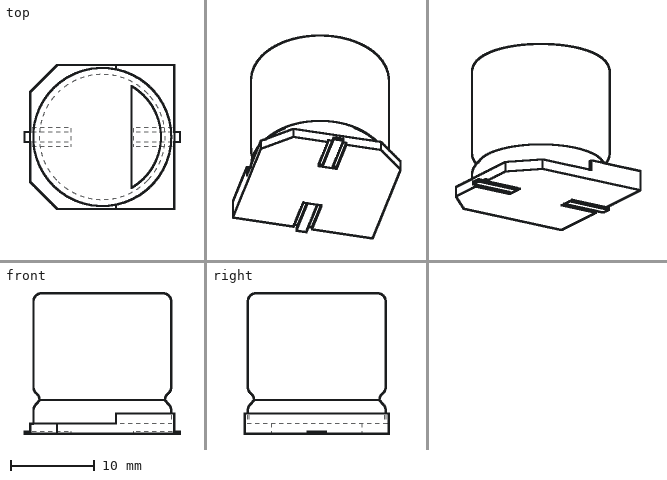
import cadquery as cq
import math

base_width = 17.2
base_floor_height = 1.2
base_wall_height = 2.44
base_chamfer = 3.22
wall_start_x = 1.62

overall_length = 18.6
lead_width = 1.23
lead_thickness = 0.3
lead_length = 5.58
slot_width = 2.25

can_diameter = 16.5
can_radius = can_diameter / 2
can_top = 16.8
rim_radius = 1.0

groove_bottom = 2.79
groove_top = 5.6
groove_arc_radius = 1.0
groove_arc_height = 0.78

mark_radius = 7.01
mark_chord_x = 3.5
mark_thickness = 0.1


def make_lead_strip(side, width):
    """Flat strip along one lead; side is -1 for the -X end and +1 for the +X end."""
    center_x = side * (overall_length - lead_length) / 2
    return (
        cq.Workplane("XY")
        .box(lead_length, width, lead_thickness, centered=(True, True, False))
        .translate((center_x, 0, 0))
    )


def make_base():
    """Chamfered plate with a raised wall at +X that wraps around the can, slotted below for the leads."""
    plate = (
        cq.Workplane("XY")
        .rect(base_width, base_width)
        .extrude(base_wall_height)
        .edges("|Z and <X")
        .chamfer(base_chamfer)
    )
    step_height = base_wall_height - base_floor_height
    step_length = base_width / 2 + wall_start_x
    step = (
        cq.Workplane("XY", origin=(-base_width / 2, 0, base_floor_height))
        .box(step_length, base_width, step_height, centered=(False, True, False))
    )
    can_seat = cq.Workplane("XY", origin=(0, 0, base_floor_height)).circle(can_radius).extrude(step_height)
    base = plate.cut(step).cut(can_seat)
    for side in (-1, 1):
        base = base.cut(make_lead_strip(side, slot_width))
    return base


def make_mark():
    """Circle segment beyond the chord on the +X side."""
    chord_half = math.sqrt(mark_radius**2 - mark_chord_x**2)
    return (
        cq.Workplane("XY", origin=(0, 0, can_top - mark_thickness))
        .moveTo(mark_chord_x, -chord_half)
        .threePointArc((mark_radius, 0), (mark_chord_x, chord_half))
        .close()
        .extrude(mark_thickness)
    )


def make_can(mark):
    """Revolved can: rounded top rim and a crimp groove above its foot."""
    arc_angle = math.asin(groove_arc_height / groove_arc_radius)
    arc_inset = groove_arc_radius * (1 - math.cos(arc_angle))
    middle_height = groove_arc_radius * math.sin(arc_angle / 2)
    middle_inset = groove_arc_radius * (1 - math.cos(arc_angle / 2))

    shoulder_radius = can_radius - arc_inset
    neck_radius = can_radius - 2 * arc_inset
    lower_shoulder_z = groove_bottom + groove_arc_height
    upper_shoulder_z = groove_top - groove_arc_height
    neck_z = upper_shoulder_z - groove_arc_height

    body = (
        cq.Workplane("XZ")
        .moveTo(0, base_floor_height)
        .lineTo(can_radius, base_floor_height)
        .lineTo(can_radius, groove_bottom)
        .threePointArc(
            (can_radius - middle_inset, groove_bottom + middle_height),
            (shoulder_radius, lower_shoulder_z),
        )
        .lineTo(neck_radius, neck_z)
        .threePointArc(
            (neck_radius + middle_inset, neck_z + middle_height),
            (shoulder_radius, upper_shoulder_z),
        )
        .threePointArc(
            (can_radius - middle_inset, groove_top - middle_height),
            (can_radius, groove_top),
        )
        .lineTo(can_radius, can_top)
        .lineTo(0, can_top)
        .close()
        .revolve(360, (0, 0, 0), (0, 1, 0))
        .faces(">Z")
        .edges()
        .fillet(rim_radius)
    )
    return body.cut(mark)


leads = [make_lead_strip(side, lead_width) for side in (-1, 1)]
base = make_base()
mark = make_mark()
can = make_can(mark)

result = cq.Compound.makeCompound([base.val(), can.val(), mark.val(), *[lead.val() for lead in leads]])